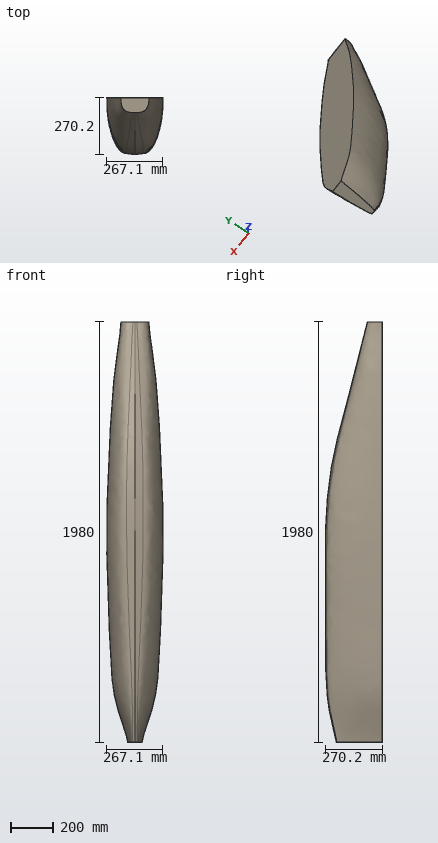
import cadquery as cq

length = 1980.0
max_half_beam = 267.05 / 2

stations = [
    (0.0, 34.0, 217.0, 10.0, 3.0, 0.25),
    (100.0, 63.0, 241.0, 11.0, 5.0, 0.38),
    (200.0, 92.5, 258.0, 13.0, 5.0, 0.42),
    (400.0, 115.0, 268.0, 20.0, 6.0, 0.48),
    (700.0, 127.3, 269.0, 33.0, 6.0, 0.54),
    (1000.0, max_half_beam, 268.5, 39.0, 7.0, 0.56),
    (1300.0, 125.0, 240.0, 37.5, 8.0, 0.52),
    (1600.0, 108.5, 168.0, 27.0, 6.0, 0.56),
    (1800.0, 88.5, 116.5, 18.0, 3.0, 0.68),
    (length, 66.0, 71.0, 9.0, 1.0, 0.74),
]


def side_curve(half_beam, depth, band, rise, fullness, side):
    """Control points from the deck edge to the keel band, for side +1 or -1."""
    edge_depth = depth - rise
    bulge = band + fullness * (half_beam - band)
    return [
        (side * half_beam, 0.0),
        (side * half_beam, -fullness * edge_depth),
        (side * bulge, -edge_depth),
        (side * band, -edge_depth),
    ]


def hull_section(height, half_beam, depth, band, rise, fullness):
    """Closed cross-section wire: flat deck, two curved sides and a shallow V keel band."""
    right_side = side_curve(half_beam, depth, band, rise, fullness, 1)
    left_side = side_curve(half_beam, depth, band, rise, fullness, -1)
    return (
        cq.Workplane("XY", origin=(0, 0, height))
        .moveTo(*left_side[0])
        .lineTo(*right_side[0])
        .bezier(right_side[1:], includeCurrent=True)
        .lineTo(0.0, -depth)
        .lineTo(*left_side[-1])
        .bezier(left_side[-2::-1], includeCurrent=True)
        .close()
        .wire()
        .val()
    )


sections = [hull_section(*station) for station in stations]
result = cq.Workplane("XY").newObject([cq.Solid.makeLoft(sections)])